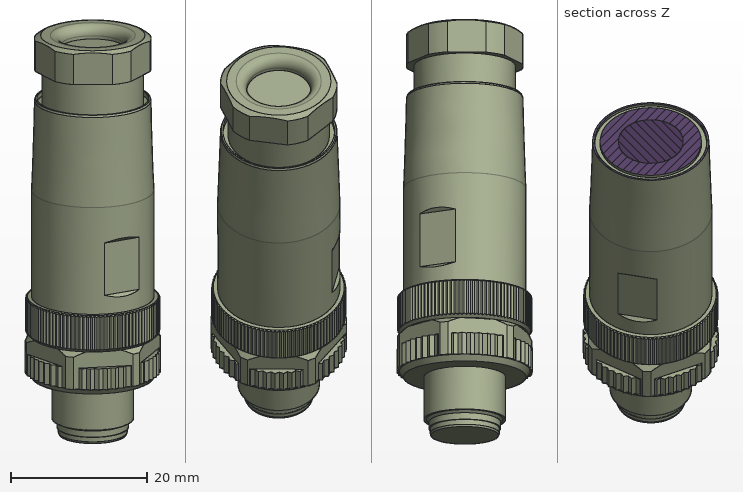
import cadquery as cq
import math

total_length = 61.3

nut_radius = 10.0
nut_flat_distance = 8.95
nut_bottom_z = 8.9
nut_knurl_bottom_z = 9.75
nut_knurl_top_z = 13.0
nut_top_z = 15.45
nut_bottom_radius = 9.0
nut_top_radius = 9.3
nut_corner_drop = 0.75
nut_teeth = 50
nut_valley_radius = 9.6

ring_radius = 9.85
ring_valley_radius = 9.7
ring_bottom_z = nut_top_z
ring_top_z = 21.15
ring_teeth = 100
ring_bottom_chamfer = 0.55
ring_top_chamfer = 0.25

housing_radius = 9.0
housing_end_radius = 8.6
housing_taper_z = 37.55
housing_top_z = 51.6
housing_end_chamfer = 0.3
housing_rim_radius = 8.45
housing_recess_radius = 8.2
housing_recess_z = 50.85

spanner_angle = -40.0
spanner_flat_distance = 8.5
spanner_bottom_z = 24.0
spanner_top_z = 32.05

neck_radius = 7.5
head_bottom_z = 56.2
head_radius = 8.6
head_flat_distance = 8.1
head_flat_angle = -10.0
head_top_radius = 7.65
head_corner_drop = 0.4
mouth_radius = 6.25
throat_radius = 4.7

seal_top_z = 59.25
seal_bottom_z = housing_recess_z

sleeve_radius = 6.0
sleeve_bottom_z = 2.4
tip_radius = 5.3
tip_neck_radius = 5.1
tip_step_z = 1.05
tip_end_radius = 4.95
tip_end_chamfer = 0.3
tip_root_chamfer = 0.35


def revolved(points):
    """Solid of revolution about Z from (radius, z) points."""
    return cq.Workplane("XZ").polyline(points).close().revolve(360, (0, 0, 0), (0, 1, 0))


def cylinder(radius, bottom, top):
    return cq.Workplane("XY").workplane(offset=bottom).circle(radius).extrude(top - bottom)


def hexagon(flat_distance, flat_angle, bottom, top):
    """Hexagonal prism about Z with one flat facing flat_angle."""
    across_corners = 2 * flat_distance / math.cos(math.radians(30))
    prism = cq.Workplane("XY").workplane(offset=bottom).polygon(6, across_corners).extrude(top - bottom)
    return prism.rotate((0, 0, 0), (0, 0, 1), flat_angle + 30)


def knurled(tip, valley, teeth, bottom, top, first_angle):
    """Prism with V-shaped teeth around its rim, the first tooth at first_angle from +X."""
    half_pitch = math.pi / teeth
    points = []
    for i in range(2 * teeth):
        radius = tip if i % 2 == 0 else valley
        angle = math.radians(first_angle) + i * half_pitch
        points.append((radius * math.cos(angle), radius * math.sin(angle)))
    return cq.Workplane("XY").workplane(offset=bottom).polyline(points).close().extrude(top - bottom)


def make_insert():
    return revolved([
        (0, 0),
        (tip_end_radius, 0),
        (tip_neck_radius, tip_end_chamfer),
        (tip_neck_radius, tip_step_z),
        (tip_radius, tip_step_z),
        (tip_radius, sleeve_bottom_z - tip_root_chamfer),
        (tip_radius + tip_root_chamfer, sleeve_bottom_z),
        (sleeve_radius, sleeve_bottom_z),
        (sleeve_radius, nut_top_z),
        (0, nut_top_z),
    ])


def make_coupling_nut():
    hexagon_body = hexagon(nut_flat_distance, 0, nut_bottom_z, nut_top_z)
    knurl = knurled(nut_radius, nut_valley_radius, nut_teeth, nut_bottom_z, nut_knurl_top_z, 0)
    envelope = revolved([
        (sleeve_radius, nut_bottom_z),
        (nut_bottom_radius, nut_bottom_z),
        (nut_valley_radius, nut_knurl_bottom_z),
        (nut_radius, nut_knurl_bottom_z),
        (nut_radius, nut_top_z - nut_corner_drop),
        (nut_top_radius, nut_top_z),
        (sleeve_radius, nut_top_z),
    ])
    return hexagon_body.union(knurl).intersect(envelope)


def make_ring():
    half_pitch_angle = 180 / ring_teeth
    knurl = knurled(ring_radius, ring_valley_radius, ring_teeth, ring_bottom_z, ring_top_z, half_pitch_angle)
    envelope = revolved([
        (housing_radius, ring_bottom_z),
        (ring_radius - ring_bottom_chamfer, ring_bottom_z),
        (ring_radius, ring_bottom_z + ring_bottom_chamfer),
        (ring_radius, ring_top_z - ring_top_chamfer),
        (ring_radius - ring_top_chamfer, ring_top_z),
        (housing_radius, ring_top_z),
    ])
    return knurl.intersect(envelope)


def make_housing():
    body = revolved([
        (0, nut_top_z),
        (housing_radius, nut_top_z),
        (housing_radius, housing_taper_z),
        (housing_end_radius, housing_top_z - housing_end_chamfer),
        (housing_rim_radius, housing_top_z),
        (housing_recess_radius, housing_top_z),
        (housing_recess_radius, housing_recess_z),
        (0, housing_recess_z),
    ])
    depth = housing_radius - spanner_flat_distance
    for angle in (spanner_angle, spanner_angle + 180):
        cutter = (
            cq.Workplane("XZ")
            .polyline([
                (spanner_flat_distance, spanner_bottom_z),
                (housing_radius, spanner_bottom_z - depth),
                (housing_radius, spanner_top_z + depth),
                (spanner_flat_distance, spanner_top_z),
            ])
            .close()
            .extrude(housing_radius, both=True)
            .rotate((0, 0, 0), (0, 0, 1), angle)
        )
        body = body.cut(cutter)
    return body


def make_clamping_nut():
    mouth_height = mouth_radius - throat_radius
    envelope = revolved([
        (0, head_bottom_z),
        (head_radius, head_bottom_z),
        (head_radius, total_length - head_corner_drop),
        (head_top_radius, total_length),
        (0, total_length),
    ])
    head = hexagon(head_flat_distance, head_flat_angle, head_bottom_z, total_length).intersect(envelope)
    neck = cylinder(neck_radius, housing_recess_z, head_bottom_z)
    throat = cylinder(throat_radius, housing_recess_z, total_length)
    arc_mid = mouth_height * (1 - math.sin(math.radians(45)))
    mouth = (
        cq.Workplane("XZ")
        .moveTo(0, total_length)
        .lineTo(mouth_radius, total_length)
        .threePointArc((throat_radius + arc_mid, total_length - arc_mid),
                       (throat_radius, total_length - mouth_height))
        .lineTo(0, total_length - mouth_height)
        .close()
        .revolve(360, (0, 0, 0), (0, 1, 0))
    )
    return head.union(neck).cut(throat).cut(mouth)


def make_seal():
    return cylinder(throat_radius, seal_bottom_z, seal_top_z)


insert = make_insert()
coupling_nut = make_coupling_nut()
ring = make_ring()
housing = make_housing()
clamping_nut = make_clamping_nut()
seal = make_seal()

result = cq.Compound.makeCompound([
    insert.val(),
    coupling_nut.val(),
    ring.val(),
    housing.val(),
    clamping_nut.val(),
    seal.val(),
])